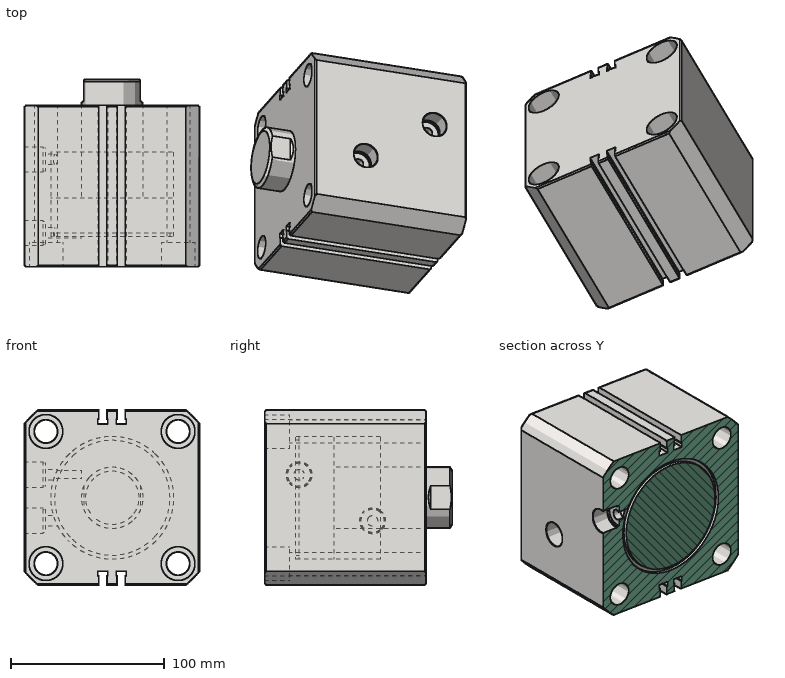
import cadquery as cq
import math


body_width = 114.0
body_length = 105.0
turned_diameter = 149.0
end_chamfer = 1.0
half_width = body_width / 2
turned_radius = turned_diameter / 2
flat_half = math.sqrt(turned_radius**2 - half_width**2)
corner_mid = turned_radius * math.cos(math.radians(45))

bore_diameter = 80.0
rear_wall = 20.0
front_wall = 30.0
bore_length = body_length - rear_wall - front_wall

mount_spacing = 86.0
mount_diameter = 15.0
counterbore_diameter = 22.0
counterbore_depth = 16.0

slot_offset = 6.0
slot_neck_width = 5.2
slot_foot_width = 6.4
slot_neck_depth = 6.0
slot_depth = 9.0

port_places = [(22.2, 15.0), (70.0, -15.0)]
port_chamfer_diameter = 16.9
port_thread_diameter = 16.4
port_core_diameter = 15.0
port_thread_depth = 12.0
port_core_depth = 13.5
port_passage_diameter = 6.8
port_chamfer = (port_chamfer_diameter - port_thread_diameter) / 2

piston_length = 25.0
piston_step_diameter = 75.0
piston_step_length = 2.2

rod_diameter = 40.0
rod_overhang = 17.0
tip_chamfer_length = 1.5
tip_chamfer_depth = 2.6
flats_width = 37.0
flats_setback = 3.0
flat_cut = (rod_diameter - flats_width) / 2
rod_start = rear_wall + piston_length
rod_tip = body_length + rod_overhang


def y_cylinder(diameter, y_start, length, x=0.0, z=0.0):
    """Solid cylinder running along +Y from y_start."""
    axis_start = cq.Vector(x, y_start, z)
    return cq.Workplane(obj=cq.Solid.makeCylinder(diameter / 2, length, axis_start, cq.Vector(0, 1, 0)))


def housing_block():
    """Square block with turned corners and chamfered end edges on the four flats."""
    outline = (
        cq.Workplane("XZ")
        .moveTo(-flat_half, half_width)
        .lineTo(flat_half, half_width)
        .threePointArc((corner_mid, corner_mid), (half_width, flat_half))
        .lineTo(half_width, -flat_half)
        .threePointArc((corner_mid, -corner_mid), (flat_half, -half_width))
        .lineTo(-flat_half, -half_width)
        .threePointArc((-corner_mid, -corner_mid), (-half_width, -flat_half))
        .lineTo(-half_width, flat_half)
        .threePointArc((-corner_mid, corner_mid), (-flat_half, half_width))
        .close()
    )
    chamfered_box = (
        cq.Workplane("XY")
        .box(body_width, body_length, body_width)
        .faces("<Y or >Y")
        .chamfer(end_chamfer)
        .translate((0, body_length / 2, 0))
    )
    return outline.extrude(-body_length).intersect(chamfered_box)


def t_slot(x, side):
    """T-slot cutter along the housing; side is +1 for the top face, -1 for the bottom."""
    foot_depth = slot_depth - slot_neck_depth
    neck = cq.Workplane("XY").box(slot_neck_width, body_length, slot_depth)
    neck = neck.translate((x, body_length / 2, side * (half_width - slot_depth / 2)))
    foot = cq.Workplane("XY").box(slot_foot_width, body_length, foot_depth)
    foot = foot.translate((x, body_length / 2, side * (half_width - slot_depth + foot_depth / 2)))
    return neck.union(foot)


def mounting_hole(x, z):
    """Through hole with a counterbore in the rear face."""
    through = y_cylinder(mount_diameter, 0, body_length, x, z)
    counterbore = y_cylinder(counterbore_diameter, 0, counterbore_depth, x, z)
    return through.union(counterbore)


def port(y, z):
    """Stepped port with a chamfered mouth and a narrow passage into the bore."""
    passage_end = half_width - rod_diameter / 2
    half_profile = [
        (0, 0),
        (port_chamfer_diameter / 2, 0),
        (port_thread_diameter / 2, port_chamfer),
        (port_thread_diameter / 2, port_thread_depth),
        (port_core_diameter / 2, port_thread_depth),
        (port_core_diameter / 2, port_core_depth),
        (port_passage_diameter / 2, port_core_depth),
        (port_passage_diameter / 2, passage_end),
        (0, passage_end),
    ]
    cutter = cq.Workplane("XY").polyline(half_profile).close().revolve(360, (0, 0, 0), (0, 1, 0))
    return cutter.rotate((0, 0, 0), (0, 0, 1), -90).translate((-half_width, y, z))


def make_housing():
    housing = housing_block()
    housing = housing.cut(y_cylinder(bore_diameter, rear_wall, bore_length))
    housing = housing.cut(y_cylinder(rod_diameter, rear_wall, body_length - rear_wall))
    for x_side in (-1, 1):
        for z_side in (-1, 1):
            housing = housing.cut(mounting_hole(x_side * mount_spacing / 2, z_side * mount_spacing / 2))
            housing = housing.cut(t_slot(x_side * slot_offset, z_side))
    for y, z in port_places:
        housing = housing.cut(port(y, z))
    return housing


def make_piston():
    """Full-bore disc with a smaller step resting on the rear wall."""
    step = y_cylinder(piston_step_diameter, rear_wall, piston_step_length)
    disc_length = piston_length - piston_step_length
    return step.union(y_cylinder(bore_diameter, rear_wall + piston_step_length, disc_length))


def make_rod():
    """Round rod with a chamfered tip and two wrench flats that run out at 45 degrees."""
    rod_radius = rod_diameter / 2
    half_profile = [
        (0, rod_start),
        (rod_radius, rod_start),
        (rod_radius, rod_tip - tip_chamfer_length),
        (rod_radius - tip_chamfer_depth, rod_tip),
        (0, rod_tip),
    ]
    rod = cq.Workplane("XY").polyline(half_profile).close().revolve(360, (0, 0, 0), (0, 1, 0))

    flats_end = body_length + flats_setback
    flat_profile = [
        (flats_width / 2, rod_tip),
        (flats_width / 2, flats_end),
        (rod_radius, flats_end - flat_cut),
        (rod_radius, rod_tip),
    ]
    flat = cq.Workplane("XY").polyline(flat_profile).close().extrude(rod_radius, both=True)
    return rod.cut(flat).cut(flat.mirror("YZ"))


housing = make_housing()
piston = make_piston()
rod = make_rod()

result = cq.Compound.makeCompound([housing.val(), piston.val(), rod.val()])